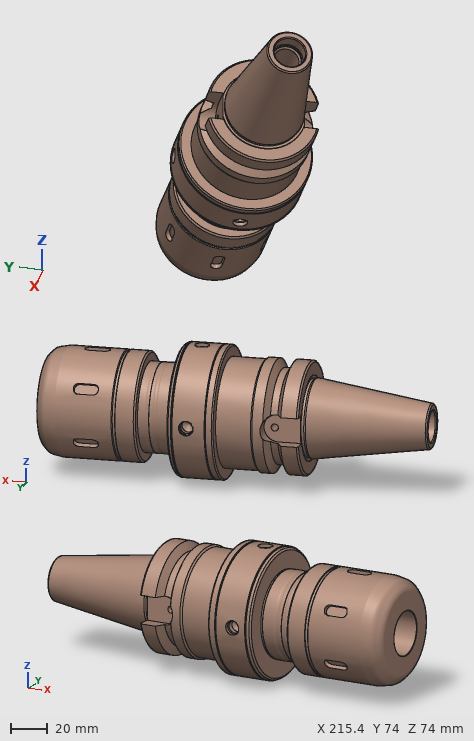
import cadquery as cq
import math


taper_length = 65.4
gauge_dia = 44.45
taper_ratio = 7 / 24
small_end_dia = gauge_dia - taper_ratio * taper_length
shank_chamfer = 0.8
relief_dia = 43.5
relief_start = 1.0
face_recess_dia = 47
face_recess_depth = 0.5

flange_dia = 63
flange_start = 2.0
flange_end = 27.5
flange_chamfer = 1.0
groove_floor_dia = 53
groove_center = 16.6
groove_floor_width = 4.1
groove_flank_angle = 30
flank_run = (flange_dia - groove_floor_dia) / 2 * math.tan(math.radians(groove_flank_angle))

body_dia = 61
collar_dia = 74
collar_start = 48.0
collar_end = 74.0
collar_chamfer = 0.8
collar_bevel_start = 71.6
collar_bevel_mid = 73.1
collar_bevel_mid_dia = 72.6
collar_face_dia = 70.4
collar_groove_starts = (52.2, 70.8)
collar_groove_width = 0.6
collar_groove_depth = 0.3

neck_dia = 50
neck_groove_dia = 49.6
neck_relief_end = 75.1
neck_groove_start = 82.2
neck_groove_end = 84.9
thread_groove_start = 86.8
thread_groove_end = 88.8
neck_groove_bevel = 0.7

nut_dia = 61
nut_start = 93.0
nut_chamfer = 1.0
nut_groove_start = 104.4
nut_groove_end = 106.4
nut_groove_dia = 59.8
nut_groove_bevel = 0.5
nut_cone_start = 138.0
nut_cone_end = 143.7
nut_cone_end_dia = 58.8
nose_bevel_start = 146.3
nose_bevel_start_dia = 56
nose_bevel_end = 148.2
nose_bevel_end_dia = 52.2
nose_face_start = 149.7
nose_face_dia = 46.6
nose_end = 150.0

mouth_dia = 18.6
counterbore_dia = 17.4
counterbore_depth = 7.5
thread_lead_dia = 16
thread_lead_length = 1.2
thread_bore_dia = 14
thread_bore_end = -30.0
through_dia = 12
clamp_bore_dia = 25
clamp_bore_depth = 80
clamp_mouth_dia = 25.5

keyway_width = 16.1
keyway_floor = 22.5
keyway_end = 23.0
cross_hole_dia = 4
cross_hole_x = 17.0

spanner_hole_dia = 8
spanner_hole_x = 63.1
spanner_mouth_depth = 2.2
spanner_hole_depth = 6
spanner_bottom_dia = 6.93
spanner_hole_count = 4
drill_point_angle = 118

hook_slot_width = 6
hook_slot_length = 14
hook_slot_x = 121.5
hook_slot_depth = 2.7
hook_slot_count = 6


def revolved_stations(stations, closing_radius):
    """Revolve the area between (x, diameter) stations and a closing radius about X."""
    first_x = stations[0][0]
    last_x = stations[-1][0]
    points = [(first_x, closing_radius)]
    points += [(x, dia / 2) for x, dia in stations]
    points += [(last_x, closing_radius)]
    return cq.Workplane("XY").polyline(points).close().revolve(360, (0, 0, 0), (1, 0, 0))


def ring_cut(*stations):
    """Ring around the part whose inner boundary follows the stations."""
    clear_radius = collar_dia
    return revolved_stations(stations, clear_radius)


def stepped_bore(*stations):
    """Solid on the X axis whose outer boundary follows the stations."""
    return revolved_stations(stations, 0)


def make_blank():
    """Outer shape of the shank, flange, body, collar, neck and nut, without the grooves."""
    cone_end = (nut_cone_end, nut_cone_end_dia / 2)
    bevel_start = (nose_bevel_start, nose_bevel_start_dia / 2)
    bevel_end = (nose_bevel_end, nose_bevel_end_dia / 2)
    face_edge = (nose_face_start, nose_face_dia / 2)
    flange_step = (flange_dia - body_dia) / 2
    outline = (
        cq.Workplane("XY")
        .moveTo(-taper_length, 0)
        .lineTo(-taper_length, small_end_dia / 2 - shank_chamfer)
        .lineTo(-taper_length + shank_chamfer, small_end_dia / 2)
        .lineTo(0, gauge_dia / 2)
        .lineTo(relief_start, relief_dia / 2)
        .lineTo(flange_start + face_recess_depth, relief_dia / 2)
        .lineTo(flange_start + face_recess_depth, face_recess_dia / 2)
        .lineTo(flange_start, face_recess_dia / 2)
        .lineTo(flange_start, flange_dia / 2 - flange_chamfer)
        .lineTo(flange_start + flange_chamfer, flange_dia / 2)
        .lineTo(flange_end, flange_dia / 2)
        .lineTo(flange_end + flange_step, body_dia / 2)
        .lineTo(collar_start, body_dia / 2)
        .lineTo(collar_start, collar_dia / 2 - collar_chamfer)
        .lineTo(collar_start + collar_chamfer, collar_dia / 2)
        .lineTo(collar_bevel_start, collar_dia / 2)
        .lineTo(collar_bevel_mid, collar_bevel_mid_dia / 2)
        .lineTo(collar_end, collar_face_dia / 2)
        .lineTo(collar_end, neck_dia / 2)
        .lineTo(nut_start, neck_dia / 2)
        .lineTo(nut_start, nut_dia / 2 - nut_chamfer)
        .lineTo(nut_start + nut_chamfer, nut_dia / 2)
        .lineTo(nut_cone_start, nut_dia / 2)
        .lineTo(*cone_end)
        .tangentArcPoint(bevel_start, relative=False)
        .lineTo(*bevel_end)
        .tangentArcPoint(face_edge, relative=False)
        .lineTo(nose_end, clamp_mouth_dia / 2)
        .lineTo(nose_end, 0)
        .close()
    )
    return outline.revolve(360, (0, 0, 0), (1, 0, 0))


def cut_flange_groove(part):
    floor_start = groove_center - groove_floor_width / 2
    floor_end = groove_center + groove_floor_width / 2
    return part.cut(ring_cut(
        (floor_start - flank_run, flange_dia),
        (floor_start, groove_floor_dia),
        (floor_end, groove_floor_dia),
        (floor_end + flank_run, flange_dia),
    ))


def cut_collar_grooves(part):
    floor_dia = collar_dia - 2 * collar_groove_depth
    for start in collar_groove_starts:
        part = part.cut(ring_cut((start, floor_dia), (start + collar_groove_width, floor_dia)))
    return part


def cut_neck_grooves(part):
    relief = ring_cut((collar_end, neck_groove_dia), (neck_relief_end, neck_groove_dia))
    first = ring_cut(
        (neck_groove_start, neck_dia),
        (neck_groove_start + neck_groove_bevel, neck_groove_dia),
        (neck_groove_end - neck_groove_bevel, neck_groove_dia),
        (neck_groove_end, neck_dia),
    )
    second = ring_cut(
        (thread_groove_start, neck_groove_dia),
        (thread_groove_end - neck_groove_bevel, neck_groove_dia),
        (thread_groove_end, neck_dia),
    )
    return part.cut(relief).cut(first).cut(second)


def cut_nut_groove(part):
    return part.cut(ring_cut(
        (nut_groove_start, nut_groove_dia),
        (nut_groove_end - nut_groove_bevel, nut_groove_dia),
        (nut_groove_end, nut_dia),
    ))


def cut_bores(part):
    counterbore_end = -taper_length + counterbore_depth
    mouth_chamfer = (mouth_dia - counterbore_dia) / 2
    lead_end = counterbore_end + thread_lead_length
    lead_bevel = (thread_lead_dia - thread_bore_dia) / 2
    clamp_chamfer = (clamp_mouth_dia - clamp_bore_dia) / 2
    clamp_start = nose_end - clamp_bore_depth
    return part.cut(stepped_bore(
        (-taper_length, mouth_dia),
        (-taper_length + mouth_chamfer, counterbore_dia),
        (counterbore_end, counterbore_dia),
        (counterbore_end, thread_lead_dia),
        (lead_end, thread_lead_dia),
        (lead_end + lead_bevel, thread_bore_dia),
        (thread_bore_end, thread_bore_dia),
        (thread_bore_end, through_dia),
        (clamp_start, through_dia),
        (clamp_start, clamp_bore_dia),
        (nose_end - clamp_chamfer, clamp_bore_dia),
        (nose_end, clamp_mouth_dia),
    ))


def cut_keyways(part):
    """Two round-ended keyways on the -Y and +Y sides, joined by the cross hole."""
    depth = flange_dia / 2 - keyway_floor
    end_radius = keyway_width / 2
    straight = keyway_end - end_radius
    for angle in (0, 180):
        keyway = (
            cq.Workplane("XZ", origin=(0, -keyway_floor, 0))
            .moveTo(0, -end_radius)
            .lineTo(straight, -end_radius)
            .threePointArc((keyway_end, 0), (straight, end_radius))
            .lineTo(0, end_radius)
            .close()
            .extrude(depth)
        )
        part = part.cut(keyway.rotate((0, 0, 0), (1, 0, 0), angle))
    cross_hole = (
        cq.Workplane("XZ")
        .center(cross_hole_x, 0)
        .circle(cross_hole_dia / 2)
        .extrude(flange_dia / 2, both=True)
    )
    return part.cut(cross_hole)


def cut_spanner_holes(part):
    """Blind stepped holes around the collar, the first one on +Z."""
    mouth_radius = spanner_hole_dia / 2
    bottom_radius = spanner_bottom_dia / 2
    point_height = bottom_radius / math.tan(math.radians(drill_point_angle / 2))
    top = collar_dia / 2
    ledge = top - spanner_mouth_depth
    bottom = top - spanner_hole_depth
    hole = (
        cq.Workplane("XZ")
        .moveTo(0, top)
        .lineTo(mouth_radius, top)
        .lineTo(mouth_radius, ledge)
        .lineTo(bottom_radius, ledge - (mouth_radius - bottom_radius))
        .lineTo(bottom_radius, bottom)
        .lineTo(0, bottom - point_height)
        .close()
        .revolve(360, (0, 0, 0), (0, 1, 0))
        .translate((spanner_hole_x, 0, 0))
    )
    for i in range(spanner_hole_count):
        part = part.cut(hole.rotate((0, 0, 0), (1, 0, 0), i * 360 / spanner_hole_count))
    return part


def cut_hook_slots(part):
    """Flat-bottomed slots along the nut, the first one on +Z."""
    slot = (
        cq.Workplane("XY", origin=(hook_slot_x, 0, nut_dia / 2 - hook_slot_depth))
        .slot2D(hook_slot_length, hook_slot_width)
        .extrude(hook_slot_depth)
    )
    for i in range(hook_slot_count):
        part = part.cut(slot.rotate((0, 0, 0), (1, 0, 0), i * 360 / hook_slot_count))
    return part


part = make_blank()
part = cut_flange_groove(part)
part = cut_collar_grooves(part)
part = cut_neck_grooves(part)
part = cut_nut_groove(part)
part = cut_bores(part)
part = cut_keyways(part)
part = cut_spanner_holes(part)
result = cut_hook_slots(part)